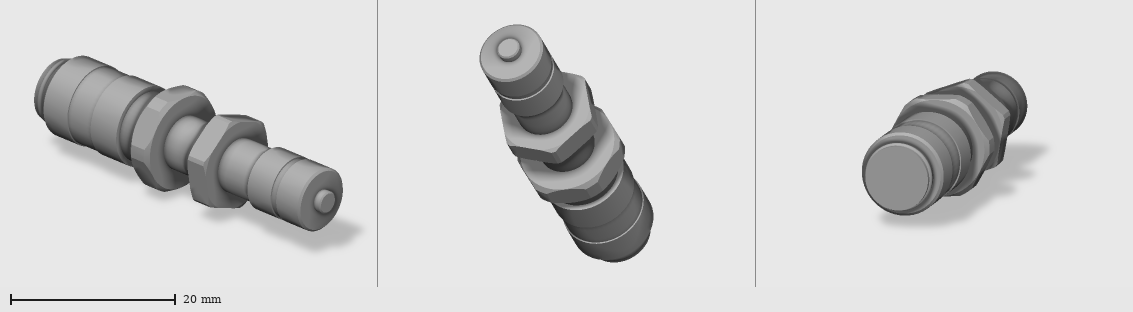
import cadquery as cq
import math

TOTAL_LENGTH = 45.05
RING_CENTER_X = 0.95
SLEEVE_START_X = 2.4
MARKING_START_X = 6.6
MARKING_END_X = 10.5
SLEEVE_END_X = 14.75
NECK_END_X = 17.9
STEM_START_X = 21.1
TAIL_START_X = 35.45
TAIL_GROOVE_START_X = 39.3
TAIL_GROOVE_END_X = 40.25
TAIL_END_X = 44.0

NOSE_DIAMETER = 7.95
RING_DIAMETER = 8.45
RING_THICKNESS = 0.7
SLEEVE_DIAMETER = 10.35
MARKING_DIAMETER = 10.0
NECK_DIAMETER = 9.0
STEM_DIAMETER = 7.0
TAIL_DIAMETER = 8.1
TAIL_GROOVE_DIAMETER = 7.7
PIN_DIAMETER = 2.85

SLEEVE_CHAMFER = 0.3
TAIL_CHAMFER = 0.25
PIN_CHAMFER = 0.2

COLLAR_ACROSS_FLATS = 12.05
COLLAR_ACROSS_CORNERS = 13.0
COLLAR_FACE_DIAMETER = 12.0
COLLAR_CHAMFER_LENGTH = 0.55
COLLAR_TURN = 2.9

NUT_START_X = 27.05
NUT_THICKNESS = 3.0
NUT_ACROSS_FLATS = 11.0
NUT_ACROSS_CORNERS = 12.4
NUT_FACE_DIAMETER = 11.4
NUT_CHAMFER_LENGTH = 0.23
NUT_TURN = 20.8


def shaft(start_x, end_x, diameter):
    """Cylinder on the X axis."""
    return cq.Workplane("YZ", origin=(start_x, 0, 0)).circle(diameter / 2).extrude(end_x - start_x)


def hexagon(start_x, thickness, across_flats, across_corners, face_diameter, chamfer_length, turn):
    """Hexagon on the X axis, with its corners rounded off and both ends chamfered.

    A corner points to -Y when turn is zero; turn, in degrees, raises that corner towards +Z.
    """
    end_x = start_x + thickness
    sharp_diameter = across_flats / math.cos(math.radians(30))
    prism = (
        cq.Workplane("YZ", origin=(start_x, 0, 0))
        .polygon(6, sharp_diameter)
        .extrude(thickness)
        .rotate((0, 0, 0), (1, 0, 0), -turn)
    )
    corner_limit = (
        cq.Workplane("XY")
        .moveTo(start_x, 0)
        .lineTo(start_x, face_diameter / 2)
        .lineTo(start_x + chamfer_length, across_corners / 2)
        .lineTo(end_x - chamfer_length, across_corners / 2)
        .lineTo(end_x, face_diameter / 2)
        .lineTo(end_x, 0)
        .close()
        .revolve(360, (0, 0, 0), (1, 0, 0))
    )
    return prism.intersect(corner_limit)


def nose():
    """Left end: a plain cylinder carrying a round snap ring."""
    ring_center_radius = (RING_DIAMETER - RING_THICKNESS) / 2
    ring = (
        cq.Workplane("XY", origin=(RING_CENTER_X, ring_center_radius, 0))
        .circle(RING_THICKNESS / 2)
        .revolve(360, (0, -ring_center_radius, 0), (1, -ring_center_radius, 0))
    )
    return shaft(0, SLEEVE_START_X, NOSE_DIAMETER).union(ring)


def sleeve():
    """Release sleeve with a shallow band for the marking, and the neck behind it."""
    front = shaft(SLEEVE_START_X, MARKING_START_X, SLEEVE_DIAMETER).faces("<X").chamfer(SLEEVE_CHAMFER)
    band = shaft(MARKING_START_X, MARKING_END_X, MARKING_DIAMETER)
    rear = shaft(MARKING_END_X, SLEEVE_END_X, SLEEVE_DIAMETER)
    neck = shaft(SLEEVE_END_X, NECK_END_X, NECK_DIAMETER)
    return front.union(band).union(rear).union(neck)


def collar():
    """Fixed hexagonal collar between the neck and the stem."""
    return hexagon(
        NECK_END_X,
        STEM_START_X - NECK_END_X,
        COLLAR_ACROSS_FLATS,
        COLLAR_ACROSS_CORNERS,
        COLLAR_FACE_DIAMETER,
        COLLAR_CHAMFER_LENGTH,
        COLLAR_TURN,
    )


def tail():
    """Grooved right end with the small pin that sticks out of it."""
    front = shaft(TAIL_START_X, TAIL_GROOVE_START_X, TAIL_DIAMETER)
    groove = shaft(TAIL_GROOVE_START_X, TAIL_GROOVE_END_X, TAIL_GROOVE_DIAMETER)
    rear = shaft(TAIL_GROOVE_END_X, TAIL_END_X, TAIL_DIAMETER).faces(">X").chamfer(TAIL_CHAMFER)
    pin = shaft(TAIL_END_X, TOTAL_LENGTH, PIN_DIAMETER).faces(">X").chamfer(PIN_CHAMFER)
    return front.union(groove).union(rear).union(pin)


def coupling_body():
    stem = shaft(STEM_START_X, TAIL_START_X, STEM_DIAMETER)
    return nose().union(sleeve()).union(collar()).union(stem).union(tail())


def lock_nut():
    blank = hexagon(
        NUT_START_X,
        NUT_THICKNESS,
        NUT_ACROSS_FLATS,
        NUT_ACROSS_CORNERS,
        NUT_FACE_DIAMETER,
        NUT_CHAMFER_LENGTH,
        NUT_TURN,
    )
    bore = shaft(NUT_START_X, NUT_START_X + NUT_THICKNESS, STEM_DIAMETER)
    return blank.cut(bore)


body = coupling_body()
nut = lock_nut()

result = cq.Compound.makeCompound([body.val(), nut.val()])